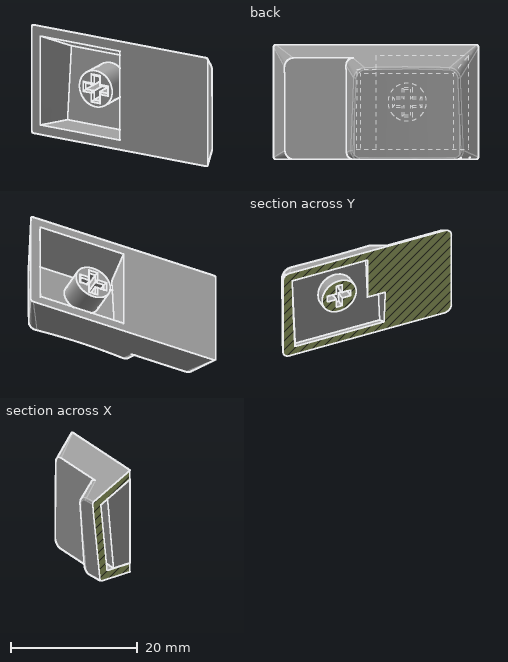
import cadquery as cq
import math

length = 32.3
width = 18.1
cap_height = 7.5
step_height = 4.3
step_rise = 0.23
upper_length = 22.6

end_lean = 0.41
side_lean = 0.5

base_corner = 0.4
corner_growth = 0.18
step_corner = 1.45
rim_fillet = 0.4

crown_slope = 0.1
dish_depth = 0.4

wall = 1.6
floor_left = 3.97
floor_top = 13.55
cavity_top = 16.4
floor_height = 4.23
mouth_right = 16.18
ledge_height = 3.05
ledge_slope = 0.09

stem_x = 11.27
stem_z = 9.08
stem_diameter = 6.0
stem_recess = 0.8
cross_length = 4.65
cross_width = 1.65
cross_chamfer = 0.32


def plane_at(y):
    """Sketch plane at height y: local x is X, local y is -Z, normal is +Y."""
    return cq.Plane(origin=(0, y, 0), xDir=(1, 0, 0), normal=(0, 1, 0))


def leaning_block(block_length, height, top_corner):
    """Rounded block whose ends and upper side lean inward with height."""
    inset = end_lean * height
    top_width = width - side_lean * height
    base = cq.Sketch().rect(block_length, width).vertices().fillet(base_corner)
    top = cq.Sketch().rect(block_length - 2 * inset, top_width).vertices().fillet(top_corner)
    base = base.moved(cq.Location(cq.Vector(block_length / 2, -width / 2, 0)))
    top = top.moved(cq.Location(cq.Vector(block_length / 2, -top_width / 2, height)))
    return cq.Workplane(plane_at(0)).placeSketch(base, top).loft(ruled=True)


def below_slope(height_at_zero, height_at_width, x0, x1):
    """Wedge from the base up to a plane that slopes along Z."""
    return (
        cq.Workplane("YZ", origin=(x0, 0, 0))
        .polyline([(0, 0), (height_at_zero, 0), (height_at_width, width), (0, width)])
        .close()
        .extrude(x1 - x0)
    )


def outer_body():
    """Dished upper block joined to the lower step."""
    crown_z = width - side_lean * cap_height
    crown_at_zero = cap_height - crown_slope * crown_z
    crown_at_width = crown_at_zero + crown_slope * width
    top_corner = base_corner + corner_growth * cap_height
    upper = leaning_block(upper_length, cap_height, top_corner)
    upper = upper.intersect(below_slope(crown_at_zero, crown_at_width, 0, upper_length))
    upper = upper.cut(dish(crown_at_zero))
    crown_face = upper.faces(cq.selectors.NearestToPointSelector((upper_length / 2, cap_height, crown_z / 2)))
    upper = crown_face.edges("<Z").fillet(rim_fillet)

    step_at_zero = step_height + step_rise / 2
    step_at_width = step_height - step_rise / 2
    lower = leaning_block(length, step_at_zero, step_corner)
    lower = lower.intersect(below_slope(step_at_zero, step_at_width, 0, length))
    return upper.union(lower)


def dish(crown_at_zero):
    """Cylinder along the sloping crown that hollows it by the dish depth."""
    half_span = upper_length / 2 - end_lean * cap_height
    radius = (half_span**2 + dish_depth**2) / (2 * dish_depth)
    tilt = math.atan(crown_slope)
    along = cq.Vector(0, math.sin(tilt), math.cos(tilt))
    up = cq.Vector(0, math.cos(tilt), -math.sin(tilt))
    centre = cq.Vector(upper_length / 2, crown_at_zero, 0) + up * (radius - dish_depth)
    return cq.Workplane(cq.Solid.makeCylinder(radius, 3 * width, centre - along * width, along))


def cavity():
    """Tapered hollow with a sloping floor, undercut beyond the mouth on the +X side."""

    def floor_at(z):
        return floor_height + crown_slope * z

    roof_right = upper_length - floor_left
    mouth_end = upper_length - wall
    mouth = [(wall, 0, wall), (mouth_end, 0, wall), (mouth_end, 0, cavity_top), (wall, 0, cavity_top)]
    low = floor_at(wall)
    high = floor_at(floor_top)
    floor = [
        (floor_left, low, wall),
        (roof_right, low, wall),
        (roof_right, high, floor_top),
        (floor_left, high, floor_top),
    ]
    wires = [
        cq.Wire.makePolygon([cq.Vector(*point) for point in corners], close=True)
        for corners in (mouth, floor)
    ]
    hollow = cq.Workplane(cq.Solid.makeLoft(wires, True))
    ledge = below_slope(ledge_height, ledge_height + ledge_slope * width, mouth_right, upper_length)
    return hollow.cut(ledge)


def cross_prism(depth, inset, taper=0):
    """Cross-shaped prism rising from the stem face, each outline edge moved in by inset."""
    long_side = cross_length - 2 * inset
    short_side = cross_width - 2 * inset
    cross = cq.Sketch().rect(long_side, short_side).rect(short_side, long_side).clean()
    return (
        cq.Workplane(plane_at(stem_recess))
        .center(stem_x, -stem_z)
        .placeSketch(cross)
        .extrude(depth, taper=taper)
    )


def stem(hollow):
    """Post from the cavity floor, with a cross socket as deep as the floor."""
    post = (
        cq.Workplane(plane_at(stem_recess))
        .center(stem_x, -stem_z)
        .circle(stem_diameter / 2)
        .extrude(cap_height)
    )
    lead_in = cross_prism(cross_chamfer, 0, taper=45)
    socket = cross_prism(cap_height, cross_chamfer)
    return post.intersect(hollow).cut(lead_in).cut(socket)


hollow = cavity()
result = outer_body().cut(hollow).union(stem(hollow))